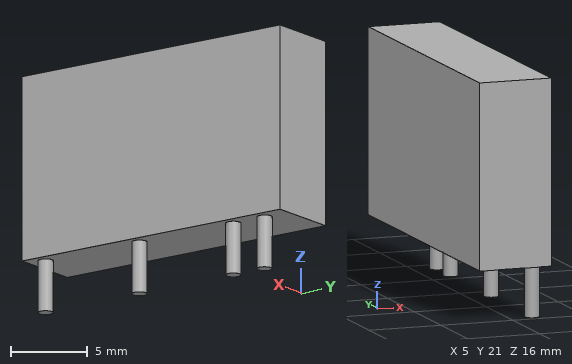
import cadquery as cq

body_width = 5.0
body_length = 21.0
body_height = 12.5

pin_diameter = 1.0
pin_length = 3.5
pin_row_inset = 0.9
end_pin_inset = 1.28
pin_grid = 2.55
pin_grid_steps = (0, 3, 6, 7)

pin_x = body_width / 2 - pin_row_inset
first_pin_y = -body_length / 2 + end_pin_inset
pin_positions = [(pin_x, first_pin_y + step * pin_grid) for step in pin_grid_steps]

body = cq.Workplane("XY").box(body_width, body_length, body_height, centered=(True, True, False))
pins = cq.Workplane("XY").pushPoints(pin_positions).circle(pin_diameter / 2).extrude(-pin_length)

result = body.union(pins)